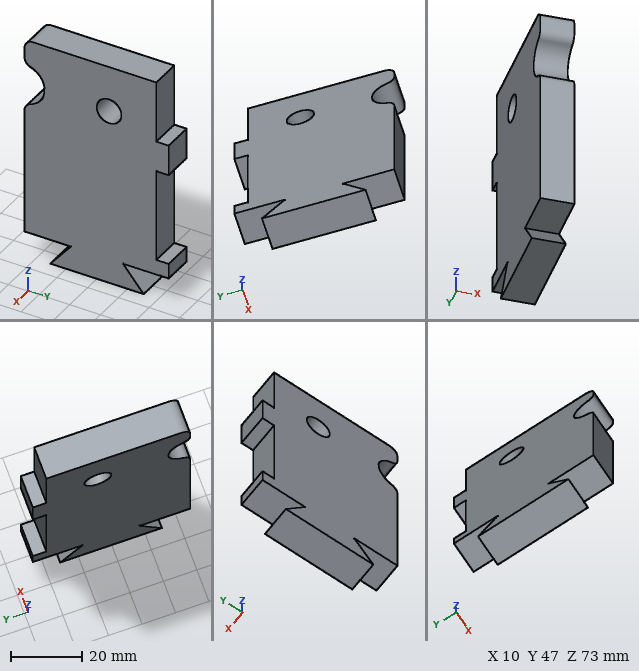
import cadquery as cq

thickness = 10.0
height = 73.0
total_depth = 47.0
tab_depth = 4.0
body_depth = total_depth - tab_depth

dovetail_height = 8.0
dovetail_neck = 17.0
dovetail_base = 30.45
dovetail_y = 23.65

upper_tab_height = 10.0
upper_tab_drop = 20.0
lower_tab_height = 5.0

hole_diameter = 8.0
hole_y = 27.6
feature_drop = 15.0
feature_z = height - feature_drop
notch_radius = 6.6
edge_radius = 3.0


def box(y_min, z_min, depth, box_height):
    """Full-thickness block placed by its lower front corner."""
    return cq.Workplane("XY").box(thickness, depth, box_height, centered=False).translate((0, y_min, z_min))


def cylinder(y, z, radius):
    """Full-thickness cylinder along X."""
    return cq.Workplane("YZ").center(y, z).circle(radius).extrude(thickness)


def dovetail():
    return (
        cq.Workplane("YZ")
        .polyline([
            (dovetail_y - dovetail_base / 2, 0),
            (dovetail_y + dovetail_base / 2, 0),
            (dovetail_y + dovetail_neck / 2, dovetail_height),
            (dovetail_y - dovetail_neck / 2, dovetail_height),
        ])
        .close()
        .extrude(thickness)
    )


def round_front_edges(body):
    """Round the top front corner and both lips of the notch."""
    for edge_z in (height, feature_z + notch_radius, feature_z - notch_radius):
        body = body.edges(cq.selectors.NearestToPointSelector((thickness / 2, 0, edge_z))).fillet(edge_radius)
    return body


body = box(0, dovetail_height, body_depth, height - dovetail_height)
body = body.cut(cylinder(0, feature_z, notch_radius))
body = round_front_edges(body)

upper_tab = box(body_depth, height - upper_tab_drop - upper_tab_height, tab_depth, upper_tab_height)
lower_tab = box(body_depth, dovetail_height, tab_depth, lower_tab_height)

result = body.union(upper_tab).union(lower_tab).union(dovetail())
result = result.cut(cylinder(hole_y, feature_z, hole_diameter / 2))